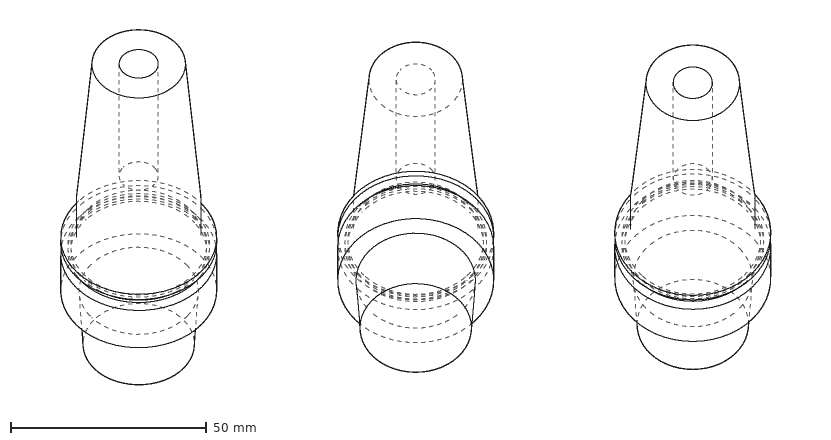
import cadquery as cq
import math

total_height = 105.0
shank_height = 20.0
flange_width = 20.0
flange_top = shank_height + flange_width

shank_top_radius = 15.3
shank_bottom_radius = 14.3

flange_radius = 20.0
groove_ledge_radius = 18.2
groove_floor_radius = 17.4
groove_mouth_width = 4.1
groove_flank_angle = 30.0
groove_centre_offset = 16.0

collar_radius = 16.0
collar_fillet = 1.0
tip_radius = 12.0
nose_half_angle = 4.5

bore_diameter = 10.0
bore_depth = 42.0

groove_centre = shank_height + groove_centre_offset
groove_top = groove_centre + groove_mouth_width / 2
groove_bottom = groove_centre - groove_mouth_width / 2
flank_rise = (flange_radius - groove_ledge_radius) * math.tan(math.radians(groove_flank_angle))
cone_height = (collar_radius - tip_radius) / math.tan(math.radians(nose_half_angle))
cone_base = total_height - cone_height


def turned_body():
    """Revolve the half section (radius, height) about the Z axis."""
    arc_inset = collar_fillet * (1 - math.sqrt(0.5))
    arc_middle = (collar_radius + arc_inset, flange_top + arc_inset)
    section = (
        cq.Workplane("XZ")
        .moveTo(0, 0)
        .lineTo(shank_bottom_radius, 0)
        .lineTo(shank_top_radius, shank_height)
        .lineTo(flange_radius, shank_height)
        .lineTo(flange_radius, groove_bottom)
        .lineTo(groove_ledge_radius, groove_bottom + flank_rise)
        .lineTo(groove_floor_radius, groove_bottom + flank_rise)
        .lineTo(groove_floor_radius, groove_top - flank_rise)
        .lineTo(groove_ledge_radius, groove_top - flank_rise)
        .lineTo(flange_radius, groove_top)
        .lineTo(flange_radius, flange_top)
        .lineTo(collar_radius + collar_fillet, flange_top)
        .threePointArc(arc_middle, (collar_radius, flange_top + collar_fillet))
        .lineTo(collar_radius, cone_base)
        .lineTo(tip_radius, total_height)
        .lineTo(0, total_height)
        .close()
    )
    return section.revolve(360, (0, 0, 0), (0, 1, 0))


def tool_bore():
    """Flat-bottomed cylinder sunk from the tip face."""
    bore_floor = total_height - bore_depth
    return cq.Workplane("XY").workplane(offset=bore_floor).circle(bore_diameter / 2).extrude(bore_depth)


result = turned_body().cut(tool_bore())